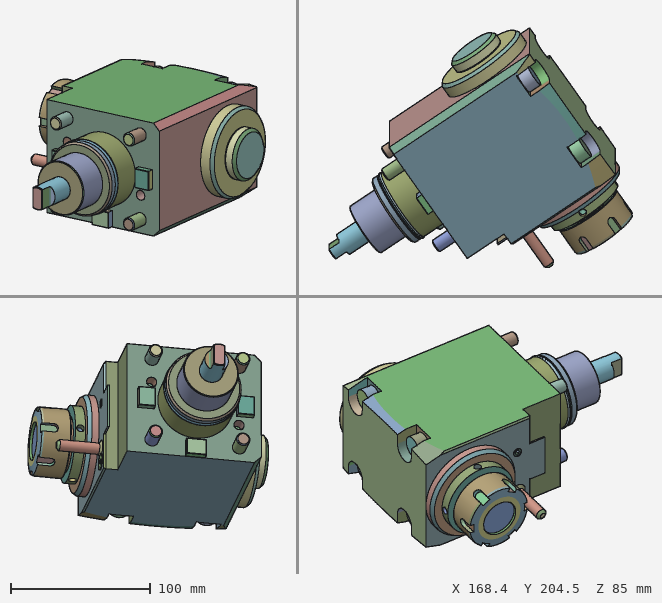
import cadquery as cq
import math


BLOCK_HEIGHT = 85.0
BLOCK_LENGTH = 121.5
COVER_FACE_X = -60.0
STEP_FACE_X = -50.0
STEP_LENGTH = 32.0
BLOCK_RIGHT_X = 48.3
RIGHT_CHAMFER = 5.1
COVER_CHAMFER = 1.2
TOP_Z = BLOCK_HEIGHT / 2

TAB_THICKNESS = 1.2
TAB_END_Y = 19.8
TAB_TOP_Z = 18.0
TAB_BOTTOM_Z = -14.7

RELIEF_RADIUS = 474.5
RELIEF_CENTRE_X = -6.0
RELIEF_CREST_Z = 41.0
RELIEF_SLOPE = 0.28

SCREW_OFFSET = 32.0
SCREW_RADIUS = 5.0
SCREW_REACH = 15.1
SCREW_CHAMFER = 0.8
SCREW_HEAD_RADIUS = 8.2
SCREW_HEAD_LENGTH = 9.5
NOTCH_RADIUS = 9.0
NOTCH_LENGTH = 16.4

KEY_WIDTH = 14.5
KEY_LENGTH = 12.0
KEY_HEIGHT = 5.0
KEY_CENTRE = 36.2
KEY_CHAMFER = 0.5
FACE_HOLE_RADIUS = 3.7
FACE_HOLE_Z = 14.0
FACE_HOLE_DEPTH = 10.2

SHANK_RADIUS = 27.5
SHANK_LENGTH = 30.3
SHANK_CHAMFER = 1.5
GROOVE_RADIUS = 25.5
GROOVE_START = 21.7
GROOVE_END = 25.0
SEAL_RADIUS = 28.0
SEAL_CORD_RADIUS = 1.6
SEAL_CENTRE = 22.7
SLEEVE_RADIUS = 20.0
SLEEVE_END = 54.2
SLEEVE_CHAMFER = 0.6
DRIVE_RADIUS = 8.5
DRIVE_END = 73.2
TANG_THICKNESS = 8.5
TANG_ROOT = 1.0
TANG_TIP_CHAMFER = 0.6
TANG_END = 83.0

SPINDLE_Y = 85.0
FLANGE_RADIUS = 36.5
FLANGE_FACE_X = -68.0
FLANGE_BEVEL_LENGTH = 3.0
FLANGE_BEVEL_DEPTH = 1.8
CAP_RADIUS = 33.7
CAP_FACE_X = 58.9
CAP_BEVEL_LENGTH = 2.5
CAP_BEVEL_DEPTH = 1.8
HUB_RADIUS = 19.2
HUB_END_X = 67.9
HUB_BEVEL = 2.2
HUB_UNDERCUT_WIDTH = 0.6
HUB_UNDERCUT_DEPTH = 0.6

NOZZLE_Y = 43.0
NOZZLE_Z = -21.9
NOZZLE_RADIUS = 4.0
NOZZLE_TIP_X = -92.5
NOZZLE_TIP_RADIUS = 2.0
NOZZLE_BEVEL = 2.0
NOZZLE_BASE_RADIUS = 6.3
NOZZLE_BASE_HEIGHT = 1.6
PLUG_Z = -32.0
PLUG_RADIUS = 6.1
PLUG_HEIGHT = 0.6
SOCKET_WIDTH = 3.7
SOCKET_DEPTH = 3.0
SET_SCREW_Z = 14.1
SET_SCREW_RADIUS = 3.3
SET_SCREW_DEPTH = 0.8

NUT_RADIUS = 25.0
NUT_FACE_X = -100.5
NUT_RIM_X = -99.2
NUT_RIM_RADIUS = 24.5
NUT_BODY_X = -97.5
NUT_FACE_RADIUS = 18.0
NUT_BACK_X = -77.7
NUT_BACK_CHAMFER = 0.6
NECK_RADIUS = 20.5
COLLAR_RADIUS = 28.0
COLLAR_FACE_X = -75.5
COLLET_RADIUS = 13.7
COLLET_DEPTH = 2.0
SLOT_COUNT = 6
SLOT_WIDTH = 6.5
SLOT_END_X = -87.3
SLOT_FLOOR = 21.7
PIN_HOLE_COUNT = 4
PIN_HOLE_RADIUS = 2.7
PIN_HOLE_DEPTH = 5.1

DRILL_POINT_ANGLE = math.radians(59)


def turned_along_x(profile):
    """Turn (x, radius) points, listed from one end to the other, about the spindle axis."""
    points = [(profile[0][0], 0), *profile, (profile[-1][0], 0)]
    solid = cq.Workplane("XY").polyline(points).close().revolve(360, (0, 0, 0), (1, 0, 0))
    return solid.translate((0, SPINDLE_Y, 0))


def turned_along_y(profile):
    """Turn (radius, y) points, listed from one end to the other, about the shank axis."""
    points = [(0, profile[0][1]), *profile, (0, profile[-1][1])]
    return cq.Workplane("XY").polyline(points).close().revolve(360, (0, 0, 0), (0, 1, 0))


def rod(start, direction, radius, length):
    return cq.Workplane(cq.Solid.makeCylinder(radius, length, cq.Vector(*start), cq.Vector(*direction)))


def drilled_hole(start, direction, radius, depth):
    """Blind hole tool with a conical drill point."""
    axis = cq.Vector(*direction)
    bottom = cq.Vector(*start) + axis * depth
    point = cq.Solid.makeCone(radius, 0, radius / math.tan(DRILL_POINT_ANGLE), bottom, axis)
    return rod(start, direction, radius, depth).union(cq.Workplane(point))


def box_between(x_range, y_range, z_range):
    low, high = zip(x_range, y_range, z_range)
    size = [b - a for a, b in zip(low, high)]
    return cq.Workplane("XY").box(*size, centered=False).translate(low)


def make_block():
    block = box_between((COVER_FACE_X, BLOCK_RIGHT_X), (0, BLOCK_LENGTH), (-TOP_Z, TOP_Z))
    block = block.edges(">X and |Y").chamfer(RIGHT_CHAMFER)
    step = box_between((COVER_FACE_X, STEP_FACE_X), (0, STEP_LENGTH), (-TOP_Z, TOP_Z))
    block = block.cut(step)
    cover_edges = block.faces("<X").edges("|Y or <Y")
    block = block.newObject(cover_edges.vals()).chamfer(COVER_CHAMFER)
    tab = box_between(
        (COVER_FACE_X, COVER_FACE_X + TAB_THICKNESS),
        (TAB_END_Y, STEP_LENGTH + COVER_CHAMFER),
        (TAB_BOTTOM_Z, TAB_TOP_Z),
    )
    return block.union(tab)


def relieve_rear_edges(block):
    """Keep only what lies inside the large cones that clear the upper and lower rear edges."""
    front_radius = RELIEF_RADIUS + RELIEF_SLOPE * BLOCK_LENGTH
    for side in (1, -1):
        axis_z = side * (RELIEF_CREST_Z - RELIEF_RADIUS)
        cone = cq.Solid.makeCone(
            front_radius, RELIEF_RADIUS, BLOCK_LENGTH,
            cq.Vector(RELIEF_CENTRE_X, 0, axis_z), cq.Vector(0, 1, 0),
        )
        block = block.intersect(cq.Workplane(cone))
    return block


def add_mounting_screws(housing):
    """Four screws through the block, each head in a notch open to the top or bottom."""
    notch_floor_y = BLOCK_LENGTH - NOTCH_LENGTH
    for x in (-SCREW_OFFSET, SCREW_OFFSET):
        for side in (1, -1):
            z = side * SCREW_OFFSET
            notch = rod((x, notch_floor_y, z), (0, 1, 0), NOTCH_RADIUS, NOTCH_LENGTH)
            opening = box_between(
                (x - NOTCH_RADIUS, x + NOTCH_RADIUS),
                (notch_floor_y, BLOCK_LENGTH),
                sorted((z, side * TOP_Z)),
            )
            head = rod((x, notch_floor_y, z), (0, 1, 0), SCREW_HEAD_RADIUS, SCREW_HEAD_LENGTH)
            thread = rod((x, 0, z), (0, -1, 0), SCREW_RADIUS, SCREW_REACH)
            thread = thread.faces("<Y").chamfer(SCREW_CHAMFER)
            housing = housing.cut(notch).cut(opening).union(head).union(thread)
    return housing


def add_keys(housing):
    """Locating keys at the left, the right and the bottom of the mounting face."""
    for turn in (0, 90, 180):
        key = cq.Workplane("XY").box(KEY_LENGTH, KEY_HEIGHT, KEY_WIDTH)
        key = key.faces("<Y").chamfer(KEY_CHAMFER)
        key = key.translate((KEY_CENTRE, -KEY_HEIGHT / 2, 0))
        housing = housing.union(key.rotate((0, 0, 0), (0, 1, 0), turn))
    return housing


def cut_face_holes(housing):
    conical = drilled_hole((-SCREW_OFFSET, 0, FACE_HOLE_Z), (0, 1, 0), FACE_HOLE_RADIUS, FACE_HOLE_DEPTH)
    flat = rod((SCREW_OFFSET, 0, -FACE_HOLE_Z), (0, 1, 0), FACE_HOLE_RADIUS, FACE_HOLE_DEPTH)
    return housing.cut(conical).cut(flat)


def make_shank():
    shank = turned_along_y([
        (SHANK_RADIUS, 0),
        (SHANK_RADIUS, -GROOVE_START),
        (GROOVE_RADIUS, -GROOVE_START),
        (GROOVE_RADIUS, -GROOVE_END),
        (SHANK_RADIUS, -GROOVE_END),
        (SHANK_RADIUS, SHANK_CHAMFER - SHANK_LENGTH),
        (SHANK_RADIUS - SHANK_CHAMFER, -SHANK_LENGTH),
        (SLEEVE_RADIUS, -SHANK_LENGTH),
        (SLEEVE_RADIUS, SLEEVE_CHAMFER - SLEEVE_END),
        (SLEEVE_RADIUS - SLEEVE_CHAMFER, -SLEEVE_END),
        (DRIVE_RADIUS, -SLEEVE_END),
        (DRIVE_RADIUS, -TANG_END),
    ])
    seal = cq.Solid.makeTorus(
        SEAL_RADIUS - SEAL_CORD_RADIUS, SEAL_CORD_RADIUS, cq.Vector(0, -SEAL_CENTRE, 0), cq.Vector(0, 1, 0)
    )
    shank = shank.union(cq.Workplane(seal))
    for side in (-1, 1):
        flat = box_between(
            sorted((side * TANG_THICKNESS / 2, side * 2 * DRIVE_RADIUS)),
            (-TANG_END, -DRIVE_END),
            (-DRIVE_RADIUS, DRIVE_RADIUS),
        )
        root_edge = "<X and >Y" if side > 0 else ">X and >Y"
        flat = flat.edges(root_edge).fillet(TANG_ROOT)
        shank = shank.cut(flat)
    return shank.faces("<Y").chamfer(TANG_TIP_CHAMFER)


def make_front_flange():
    return turned_along_x([
        (COVER_FACE_X, FLANGE_RADIUS),
        (FLANGE_FACE_X + FLANGE_BEVEL_LENGTH, FLANGE_RADIUS),
        (FLANGE_FACE_X, FLANGE_RADIUS - FLANGE_BEVEL_DEPTH),
    ])


def make_rear_cap():
    return turned_along_x([
        (BLOCK_RIGHT_X, CAP_RADIUS),
        (CAP_FACE_X - CAP_BEVEL_LENGTH, CAP_RADIUS),
        (CAP_FACE_X, CAP_RADIUS - CAP_BEVEL_DEPTH),
        (CAP_FACE_X, HUB_RADIUS - HUB_UNDERCUT_DEPTH),
        (CAP_FACE_X + HUB_UNDERCUT_WIDTH, HUB_RADIUS - HUB_UNDERCUT_DEPTH),
        (CAP_FACE_X + HUB_UNDERCUT_WIDTH, HUB_RADIUS),
        (HUB_END_X - HUB_BEVEL, HUB_RADIUS),
        (HUB_END_X, HUB_RADIUS - HUB_BEVEL),
    ])


def make_nozzle():
    nozzle = turned_along_x([
        (COVER_FACE_X, NOZZLE_BASE_RADIUS),
        (COVER_FACE_X - NOZZLE_BASE_HEIGHT, NOZZLE_RADIUS),
        (NOZZLE_TIP_X + NOZZLE_BEVEL, NOZZLE_RADIUS),
        (NOZZLE_TIP_X, NOZZLE_TIP_RADIUS),
    ])
    return nozzle.translate((0, NOZZLE_Y - SPINDLE_Y, NOZZLE_Z))


def hex_socket(x, z):
    socket = cq.Workplane("YZ").polygon(6, SOCKET_WIDTH).extrude(SOCKET_DEPTH)
    return socket.translate((x, NOZZLE_Y, z))


def add_cover_fittings(housing):
    """Nozzle, raised socket plug and sunk set screw, one above the other."""
    plug_face_x = COVER_FACE_X - PLUG_HEIGHT
    plug = rod((plug_face_x, NOZZLE_Y, PLUG_Z), (1, 0, 0), PLUG_RADIUS, PLUG_HEIGHT)
    housing = housing.union(plug).cut(hex_socket(plug_face_x, PLUG_Z))

    recess = rod((COVER_FACE_X, NOZZLE_Y, SET_SCREW_Z), (1, 0, 0), SET_SCREW_RADIUS, SET_SCREW_DEPTH)
    housing = housing.cut(recess).cut(hex_socket(COVER_FACE_X + SET_SCREW_DEPTH, SET_SCREW_Z))
    return housing.union(make_nozzle())


def make_housing():
    housing = relieve_rear_edges(make_block())
    housing = add_mounting_screws(housing)
    housing = add_keys(housing)
    housing = cut_face_holes(housing)
    housing = housing.union(make_shank())
    housing = housing.union(make_front_flange())
    housing = housing.union(make_rear_cap())
    return add_cover_fittings(housing)


def about_spindle(tool, turn):
    return tool.rotate((0, SPINDLE_Y, 0), (1, SPINDLE_Y, 0), turn)


def make_spindle():
    """Collar, neck and slotted collet nut, seated on the front flange."""
    spindle = turned_along_x([
        (NUT_FACE_X, NUT_FACE_RADIUS),
        (NUT_RIM_X, NUT_RIM_RADIUS),
        (NUT_BODY_X, NUT_RADIUS),
        (NUT_BACK_X - NUT_BACK_CHAMFER, NUT_RADIUS),
        (NUT_BACK_X, NUT_RADIUS - NUT_BACK_CHAMFER),
        (NUT_BACK_X, NECK_RADIUS),
        (COLLAR_FACE_X, NECK_RADIUS),
        (COLLAR_FACE_X, COLLAR_RADIUS),
        (FLANGE_FACE_X, COLLAR_RADIUS),
    ])
    spindle = spindle.cut(rod((NUT_FACE_X, SPINDLE_Y, 0), (1, 0, 0), COLLET_RADIUS, COLLET_DEPTH))

    slot_centre_x = SLOT_END_X - SLOT_WIDTH / 2
    slot_height = NUT_RADIUS - SLOT_FLOOR
    slot_floor_y = SPINDLE_Y + SLOT_FLOOR
    slot = box_between(
        (NUT_FACE_X, slot_centre_x),
        (slot_floor_y, slot_floor_y + slot_height),
        (-SLOT_WIDTH / 2, SLOT_WIDTH / 2),
    )
    slot = slot.union(rod((slot_centre_x, slot_floor_y, 0), (0, 1, 0), SLOT_WIDTH / 2, slot_height))
    for index in range(SLOT_COUNT):
        spindle = spindle.cut(about_spindle(slot, index * 360 / SLOT_COUNT))

    pin_hole_x = (COLLAR_FACE_X + FLANGE_FACE_X) / 2
    pin_hole = drilled_hole(
        (pin_hole_x, SPINDLE_Y + COLLAR_RADIUS, 0), (0, -1, 0), PIN_HOLE_RADIUS, PIN_HOLE_DEPTH
    )
    for index in range(PIN_HOLE_COUNT):
        spindle = spindle.cut(about_spindle(pin_hole, index * 360 / PIN_HOLE_COUNT))
    return spindle


housing = make_housing()
spindle = make_spindle()
result = cq.Compound.makeCompound([*housing.solids().vals(), *spindle.solids().vals()])